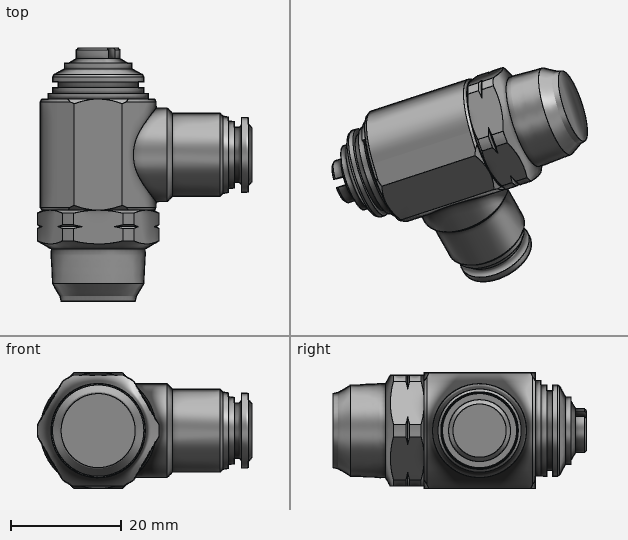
import cadquery as cq
import math

TOTAL_LENGTH = 45.8
OVERSHOOT = 4.6

THREAD_TIP_RADIUS = 6.7
THREAD_LEAD_RADIUS = 6.9
THREAD_TIP_LENGTH = 0.95
THREAD_START_RADIUS = 8.25
THREAD_START_Y = 3.2
THREAD_BREAK_RADIUS = 8.4
THREAD_BREAK_Y = 6.1
THREAD_END_RADIUS = 8.5
THREAD_END_Y = 8.47

NUT_START_Y = 9.5
NUT_END_Y = 16.5
NUT_APOTHEM = 10.05
NUT_CORNER_RADIUS = 11.0
NUT_FACE_RADIUS = 8.47
NUT_CONE_ANGLE = 30.0
NUT_GROOVE_Y = 13.5
NUT_GROOVE_WIDTH = 0.7
NUT_GROOVE_DEPTH = 0.55

BODY_START_Y = NUT_END_Y
BODY_END_Y = 36.55
BODY_APOTHEM = 10.5
BODY_EDGE_CHAMFER = 0.5
BODY_EDGE_ANGLE = 30.0
BODY_CORNER_CONE = 1.15

RING_RADIUS = 9.05
RING_END_Y = 37.55
RING_GAP_START = 191.0
RING_GAP_END = 295.0

CAP_RADIUS = 8.25
CAP_GROOVE_RADIUS = 7.25
CAP_GROOVE_START_Y = 38.6
CAP_GROOVE_END_Y = 39.65
CAP_RIM_Y = 40.55
CAP_CONE_RADIUS = 8.0
CAP_CONE_Y = 40.95
COLLAR_RADIUS = 6.1
COLLAR_START_Y = 42.0
COLLAR_END_Y = 43.0
COLLAR_CONE_RADIUS = 5.3
KNOB_RADIUS = 4.0
KNOB_START_Y = 43.85
KNOB_CHAMFER = 0.4
SLOT_WIDTH = 1.55
SLOT_ANGLE = 51.0

BRANCH_Y = 26.5
BOSS_RADIUS = 8.47
BOSS_END_X = 12.45
SLEEVE_RADIUS = 7.5
SLEEVE_END_X = 22.0
SLEEVE_CHAMFER = 0.5
SHOULDER_RADIUS = 6.83
SHOULDER_END_X = 23.5
GUIDE_START_RADIUS = 6.15
GUIDE_END_RADIUS = 6.0
GUIDE_END_X = 24.6
NECK_RADIUS = 5.0
NECK_FILLET = 0.55
FLANGE_RADIUS = 6.8
FLANGE_EDGE_RADIUS = 6.7
FLANGE_EDGE_X = 26.8
FLANGE_START_X = 25.85
FLANGE_END_X = 27.1
BRANCH_END_X = 27.8
NOSE_START_RADIUS = 5.6
NOSE_END_RADIUS = 4.8


def revolve_main(points):
    """Turn a (radius, y) outline about the main axis."""
    return cq.Workplane("XY").polyline(points).close().revolve(360, (0, 0), (0, 1))


def cross_section(y):
    """Plane across the main axis, with local axes along X and Z; extrude negative for +Y."""
    return cq.Workplane("XZ", origin=(0, y, 0))


def make_thread():
    return revolve_main([
        (0, 0),
        (THREAD_TIP_RADIUS, 0),
        (THREAD_LEAD_RADIUS, THREAD_TIP_LENGTH),
        (THREAD_START_RADIUS, THREAD_START_Y),
        (THREAD_BREAK_RADIUS, THREAD_BREAK_Y),
        (THREAD_END_RADIUS, THREAD_END_Y),
        (NUT_FACE_RADIUS, NUT_START_Y),
        (0, NUT_START_Y),
    ])


def make_nut():
    """Hexagon trimmed by a round outline with coned ends and a V groove."""
    cone_slope = math.tan(math.radians(NUT_CONE_ANGLE))
    front_cone = (NUT_CORNER_RADIUS - NUT_FACE_RADIUS) * cone_slope
    rear_cone = (NUT_CORNER_RADIUS - NUT_APOTHEM) * cone_slope
    envelope = revolve_main([
        (0, NUT_START_Y),
        (NUT_FACE_RADIUS, NUT_START_Y),
        (NUT_CORNER_RADIUS, NUT_START_Y + front_cone),
        (NUT_CORNER_RADIUS, NUT_GROOVE_Y - NUT_GROOVE_WIDTH / 2),
        (NUT_CORNER_RADIUS - NUT_GROOVE_DEPTH, NUT_GROOVE_Y),
        (NUT_CORNER_RADIUS, NUT_GROOVE_Y + NUT_GROOVE_WIDTH / 2),
        (NUT_CORNER_RADIUS, NUT_END_Y - rear_cone),
        (NUT_APOTHEM, NUT_END_Y),
        (0, NUT_END_Y),
    ])
    width_across_corners = 2 * NUT_APOTHEM / math.cos(math.pi / 6)
    hexagon = cross_section(NUT_START_Y).polygon(6, width_across_corners)
    return hexagon.extrude(NUT_START_Y - NUT_END_Y).intersect(envelope)


def body_side_outline(y):
    """Round sides running tangentially into slanted flats that meet at Z peaks."""
    tangent = BODY_APOTHEM / math.sqrt(2)
    peak = BODY_APOTHEM * math.sqrt(2)
    return (
        cross_section(y)
        .moveTo(0, -peak)
        .lineTo(tangent, -tangent)
        .threePointArc((BODY_APOTHEM, 0), (tangent, tangent))
        .lineTo(0, peak)
        .lineTo(-tangent, tangent)
        .threePointArc((-BODY_APOTHEM, 0), (-tangent, -tangent))
        .close()
    )


def make_body():
    length = BODY_END_Y - BODY_START_Y
    lower_edge = BODY_START_Y + BODY_EDGE_CHAMFER
    upper_edge = BODY_END_Y - BODY_EDGE_CHAMFER
    sides = body_side_outline(lower_edge).extrude(lower_edge - upper_edge)
    upper_chamfer = body_side_outline(upper_edge).extrude(-BODY_EDGE_CHAMFER, taper=BODY_EDGE_ANGLE)
    lower_chamfer = body_side_outline(lower_edge).extrude(BODY_EDGE_CHAMFER, taper=BODY_EDGE_ANGLE)
    sides = sides.union(upper_chamfer).union(lower_chamfer)

    flats = cq.Workplane("XY", origin=(0, BODY_START_Y + length / 2, 0)).box(
        2 * BODY_APOTHEM + OVERSHOOT, length, 2 * BODY_APOTHEM
    )
    cone_outer_radius = BODY_APOTHEM + BODY_CORNER_CONE
    corner_trim = revolve_main([
        (0, BODY_START_Y),
        (BODY_APOTHEM, BODY_START_Y),
        (cone_outer_radius, BODY_START_Y + BODY_CORNER_CONE),
        (cone_outer_radius, BODY_END_Y - BODY_CORNER_CONE),
        (BODY_APOTHEM, BODY_END_Y),
        (0, BODY_END_Y),
    ])
    return sides.intersect(flats).intersect(corner_trim)


def make_ring():
    """Disc with a sector removed below, leaving the open pointer ring."""
    height = RING_END_Y - BODY_END_Y
    disc = cross_section(BODY_END_Y).circle(RING_RADIUS).extrude(-height)
    reach = RING_RADIUS + OVERSHOOT
    mid_angle = (RING_GAP_START + RING_GAP_END) / 2
    start, middle, end = [
        (reach * math.cos(math.radians(angle)), reach * math.sin(math.radians(angle)))
        for angle in (RING_GAP_START, mid_angle, RING_GAP_END)
    ]
    gap = cross_section(BODY_END_Y).lineTo(*start).threePointArc(middle, end).close()
    return disc.cut(gap.extrude(-height))


def make_cap():
    """Turned cap whose core passes through the ring, with a slotted knob on top."""
    cap = revolve_main([
        (0, BODY_END_Y),
        (CAP_GROOVE_RADIUS, BODY_END_Y),
        (CAP_GROOVE_RADIUS, RING_END_Y),
        (CAP_RADIUS, RING_END_Y),
        (CAP_RADIUS, CAP_GROOVE_START_Y),
        (CAP_GROOVE_RADIUS, CAP_GROOVE_START_Y),
        (CAP_GROOVE_RADIUS, CAP_GROOVE_END_Y),
        (CAP_RADIUS, CAP_GROOVE_END_Y),
        (CAP_RADIUS, CAP_RIM_Y),
        (CAP_CONE_RADIUS, CAP_CONE_Y),
        (COLLAR_RADIUS, COLLAR_START_Y),
        (COLLAR_RADIUS, COLLAR_END_Y),
        (COLLAR_CONE_RADIUS, COLLAR_END_Y),
        (KNOB_RADIUS, KNOB_START_Y),
        (KNOB_RADIUS, TOTAL_LENGTH - KNOB_CHAMFER),
        (KNOB_RADIUS - KNOB_CHAMFER, TOTAL_LENGTH),
        (0, TOTAL_LENGTH),
    ])
    slot = (
        cross_section(KNOB_START_Y)
        .transformed(rotate=(0, 0, SLOT_ANGLE))
        .rect(2 * KNOB_RADIUS + OVERSHOOT, SLOT_WIDTH)
        .extrude(KNOB_START_Y - TOTAL_LENGTH)
    )
    return cap.cut(slot)


def make_branch():
    """Side outlet turned about its own axis: boss, sleeve, stepped guide, neck and flange."""
    fillet_start_x = FLANGE_START_X - NECK_FILLET
    fillet_bend = NECK_FILLET * math.sqrt(0.5)
    return (
        cq.Workplane("XY", origin=(0, BRANCH_Y, 0))
        .lineTo(0, BOSS_RADIUS)
        .lineTo(BOSS_END_X, BOSS_RADIUS)
        .lineTo(BOSS_END_X + BOSS_RADIUS - SLEEVE_RADIUS, SLEEVE_RADIUS)
        .lineTo(SLEEVE_END_X, SLEEVE_RADIUS)
        .lineTo(SLEEVE_END_X + SLEEVE_CHAMFER, SLEEVE_RADIUS - SLEEVE_CHAMFER)
        .lineTo(SHOULDER_END_X, SHOULDER_RADIUS)
        .lineTo(SHOULDER_END_X, GUIDE_START_RADIUS)
        .lineTo(GUIDE_END_X, GUIDE_END_RADIUS)
        .lineTo(GUIDE_END_X, NECK_RADIUS)
        .lineTo(fillet_start_x, NECK_RADIUS)
        .threePointArc(
            (fillet_start_x + fillet_bend, NECK_RADIUS + NECK_FILLET - fillet_bend),
            (FLANGE_START_X, NECK_RADIUS + NECK_FILLET),
        )
        .lineTo(FLANGE_START_X, FLANGE_RADIUS)
        .lineTo(FLANGE_EDGE_X, FLANGE_RADIUS)
        .lineTo(FLANGE_END_X, FLANGE_EDGE_RADIUS)
        .lineTo(FLANGE_END_X, NOSE_START_RADIUS)
        .lineTo(BRANCH_END_X, NOSE_END_RADIUS)
        .lineTo(BRANCH_END_X, 0)
        .close()
        .revolve(360, (0, 0), (1, 0))
    )


result = make_body()
for feature in (make_thread(), make_nut(), make_ring(), make_cap(), make_branch()):
    result = result.union(feature)